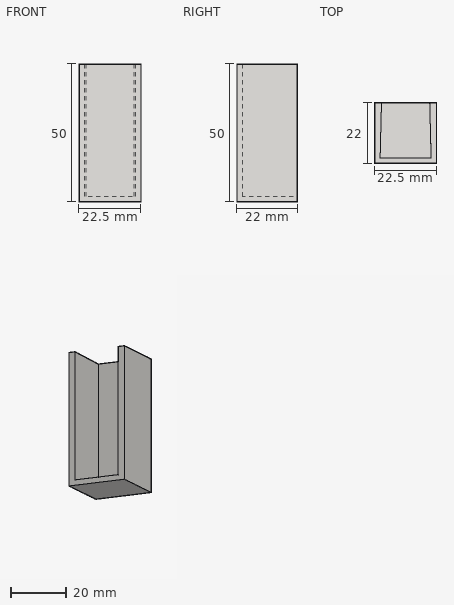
import cadquery as cq

width = 22.5
depth = 22.0
height = 50.0

wall = 2.0
lip_wall = 2.5
floor = wall

back_half_width = width / 2 - wall
open_half_width = width / 2 - lip_wall
front_y = -depth / 2
open_y = depth / 2

body = cq.Workplane("XY").box(width, depth, height, centered=(True, True, False))

pocket = (
    cq.Workplane("XY")
    .workplane(offset=floor)
    .moveTo(-back_half_width, front_y + wall)
    .lineTo(back_half_width, front_y + wall)
    .lineTo(open_half_width, open_y)
    .lineTo(-open_half_width, open_y)
    .close()
    .extrude(height - floor)
)

result = body.cut(pocket)